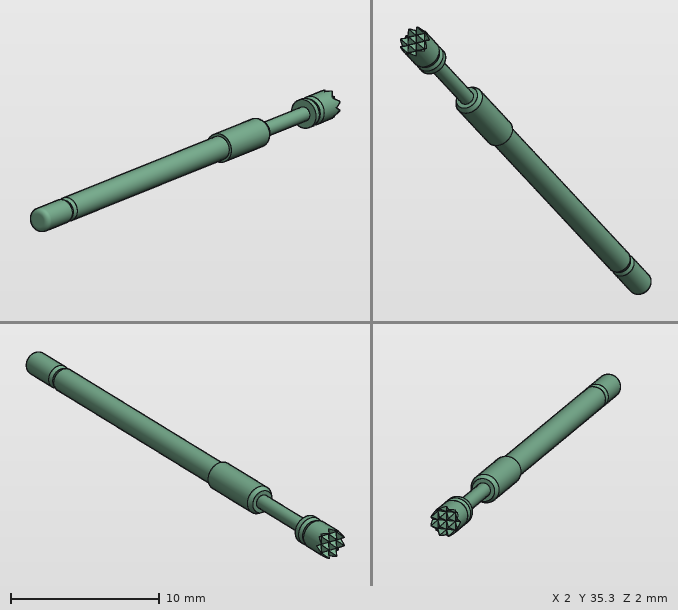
import cadquery as cq


TOTAL_LENGTH = 35.3

BARREL_RADIUS = 0.825
TAIL_FILLET = 0.35
CRIMP_CENTER_Y = 3.2
CRIMP_HALF_WIDTH = 0.3
CRIMP_DEPTH = 0.12

SLEEVE_RADIUS = 1.0
SLEEVE_LENGTH = 5.0
SLEEVE_MOUTH_Y = 27.0
SLEEVE_CHAMFER_LENGTH = 0.35
SLEEVE_CHAMFER_DEPTH = 0.2

SHAFT_RADIUS = 0.5
HEAD_RADIUS = 1.0
HEAD_LENGTH = 3.0
HEAD_GROOVE_SETBACK = 2.3
HEAD_GROOVE_HALF_WIDTH = 0.3
HEAD_GROOVE_DEPTH = 0.12

NOTCH_COUNT = 3
TOOTH_PITCH = 0.62
TOOTH_FLAT = 0.06
NOTCH_DEPTH = 0.48

SLEEVE_REAR_Y = SLEEVE_MOUTH_Y - SLEEVE_LENGTH
HEAD_REAR_Y = TOTAL_LENGTH - HEAD_LENGTH
HEAD_GROOVE_CENTER_Y = TOTAL_LENGTH - HEAD_GROOVE_SETBACK


def cylinder(radius, start_y, end_y):
    """Solid cylinder on the Y axis."""
    base = cq.Workplane("XZ", origin=(0, start_y, 0))
    return base.circle(radius).extrude(start_y - end_y)


def v_groove(radius, center_y, half_width, depth):
    """Ring with a triangular section that cuts a V groove around a cylinder."""
    section = (
        cq.Workplane("XY")
        .moveTo(radius, center_y - half_width)
        .lineTo(radius - depth, center_y)
        .lineTo(radius, center_y + half_width)
        .close()
    )
    return section.revolve(360, (0, 0, 0), (0, 1, 0))


def make_barrel():
    barrel = cylinder(BARREL_RADIUS, 0, SLEEVE_REAR_Y)
    barrel = barrel.faces("<Y").edges().fillet(TAIL_FILLET)
    return barrel.cut(v_groove(BARREL_RADIUS, CRIMP_CENTER_Y, CRIMP_HALF_WIDTH, CRIMP_DEPTH))


def make_sleeve():
    """Sleeve with a long, shallow chamfer at its mouth."""
    section = (
        cq.Workplane("XY")
        .moveTo(0, SLEEVE_REAR_Y)
        .lineTo(SLEEVE_RADIUS, SLEEVE_REAR_Y)
        .lineTo(SLEEVE_RADIUS, SLEEVE_MOUTH_Y - SLEEVE_CHAMFER_LENGTH)
        .lineTo(SLEEVE_RADIUS - SLEEVE_CHAMFER_DEPTH, SLEEVE_MOUTH_Y)
        .lineTo(0, SLEEVE_MOUTH_Y)
        .close()
    )
    return section.revolve(360, (0, 0, 0), (0, 1, 0))


def cut_crown(head):
    """Cut two crossing sets of V notches into the head face, leaving a grid of flat-tipped teeth."""
    notch_half_width = (TOOTH_PITCH - TOOTH_FLAT) / 2
    notch = (
        cq.Workplane("XY")
        .moveTo(-notch_half_width, TOTAL_LENGTH)
        .lineTo(0, TOTAL_LENGTH - NOTCH_DEPTH)
        .lineTo(notch_half_width, TOTAL_LENGTH)
        .close()
        .extrude(HEAD_RADIUS, both=True)
    )
    for index in range(NOTCH_COUNT):
        offset = (index - (NOTCH_COUNT - 1) / 2) * TOOTH_PITCH
        shifted_notch = notch.translate((offset, 0, 0))
        crossing_notch = shifted_notch.rotate((0, 0, 0), (0, 1, 0), 90)
        head = head.cut(shifted_notch).cut(crossing_notch)
    return head


def make_head():
    head = cylinder(HEAD_RADIUS, HEAD_REAR_Y, TOTAL_LENGTH)
    groove = v_groove(HEAD_RADIUS, HEAD_GROOVE_CENTER_Y, HEAD_GROOVE_HALF_WIDTH, HEAD_GROOVE_DEPTH)
    return cut_crown(head.cut(groove))


shaft = cylinder(SHAFT_RADIUS, SLEEVE_MOUTH_Y, HEAD_REAR_Y)
result = make_barrel().union(make_sleeve()).union(shaft).union(make_head())